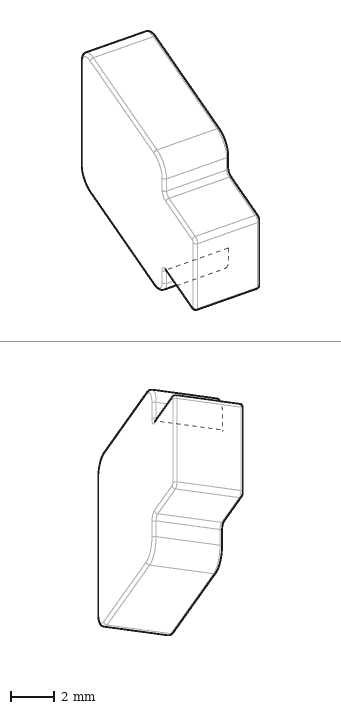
import cadquery as cq

overall_length = 11.9
thickness = 3.4
body_height = 8.9
body_length = 8.65
tab_height = 4.78
body_corner_radius = 1.0
tab_corner_radius = 0.25
rim_radius = 0.15

tab_length = overall_length - body_length
body_center_x = (body_length - overall_length) / 2


def make_body():
    """Block with four rounded corners, flush with the -X end of the part."""
    block = cq.Workplane("XY").box(body_length, thickness, body_height)
    return block.edges("|Y").fillet(body_corner_radius).translate((body_center_x, 0, 0))


def make_tab():
    """Tab on the +X side, overlapping the body as far as the body's middle."""
    length = tab_length + body_length / 2
    block = cq.Workplane("XY").box(length, thickness, tab_height)
    block = block.edges("|Y and >X").fillet(tab_corner_radius)
    return block.translate(((overall_length - length) / 2, 0, 0))


def round_tab_root(part):
    """Fillet the two inner corners where the tab meets the body."""
    root_x = body_center_x + body_length / 2
    reach = tab_corner_radius
    root_zone = cq.selectors.BoxSelector(
        (root_x - reach, -thickness, -tab_height / 2 - reach),
        (root_x + reach, thickness, tab_height / 2 + reach),
    )
    return part.edges("|Y").edges(root_zone).fillet(tab_corner_radius)


def round_rims(part):
    """Round the outlines of the front and back faces."""
    return part.faces("<Y or >Y").edges().fillet(rim_radius)


result = round_rims(round_tab_root(make_body().union(make_tab())))